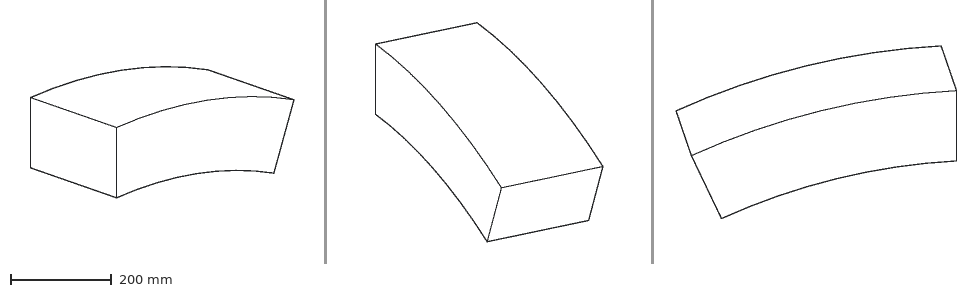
import cadquery as cq
import math

length = 532.0
width = 229.0
thickness = 152.0
sweep_angle = 23.4

outer_radius = length / math.sin(math.radians(sweep_angle))
inner_radius = outer_radius - thickness


def arc_point(radius, angle):
    """Point (Y, Z) at an angle in degrees from vertical about the shared arc centre at the origin."""
    turn = math.radians(angle)
    return radius * math.sin(turn), radius * math.cos(turn)


profile = (
    cq.Workplane("YZ")
    .moveTo(*arc_point(outer_radius, 0))
    .threePointArc(arc_point(outer_radius, sweep_angle / 2), arc_point(outer_radius, sweep_angle))
    .lineTo(*arc_point(inner_radius, sweep_angle))
    .threePointArc(arc_point(inner_radius, sweep_angle / 2), arc_point(inner_radius, 0))
    .close()
)

result = profile.extrude(width / 2, both=True)